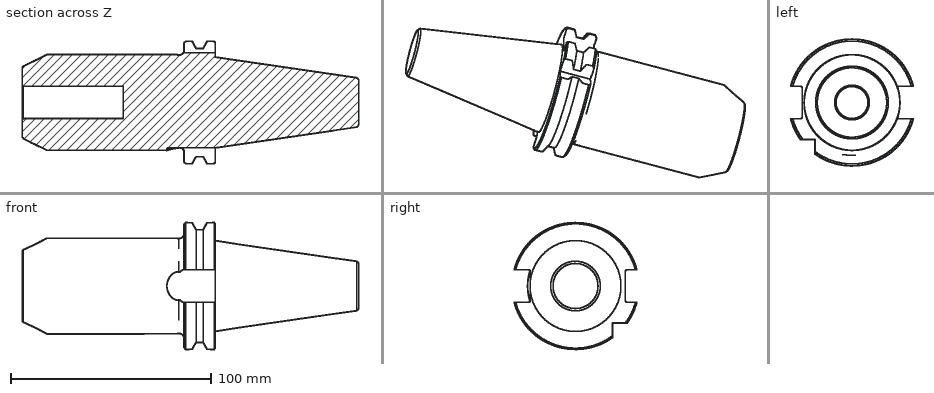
import cadquery as cq
import math

total_length = 168.4
nose_length = 12.5
flange_front = 80.8
flange_rear = 96.7
slot_tip = 72.4

body_radius = 48.0 / 2
nose_half_angle = 25.0
nose_edge_chamfer_axial = 0.7
nose_edge_chamfer_radial = 0.8
shoulder_fillet = 1.0

bore_diameter = 16.0
bore_mouth_chamfer = 0.7
bore_depth = 50.5

undercut_radius = 23.7
undercut_fillet = 2.7
undercut_ramp_length = 1.0
undercut_face_depth = 0.2
undercut_outer_radius = 27.8

flange_radius = 63.5 / 2
front_rim_chamfer = 1.0
rear_rim_chamfer = 0.7
groove_bottom_radius = 28.3
groove_bottom_width = 3.5
groove_center = 88.7
groove_flank_angle = 30.0
groove_edge_fillet = 0.5

taper_slope = 7 / 24 / 2
taper_large_radius = 22.7
tail_chamfer = 1.0

slot_width = 16.2
front_slot_floor = 22.7
rear_slot_floor = 25.0
slot_floor_fillet = 0.8
notch_offset = 18.5

selection_margin = 0.08


def circle_edges(x, radius):
    """Selector for the circular edge of the given radius about the X axis at x."""
    return cq.selectors.BoxSelector(
        (x - selection_margin, -radius - selection_margin, -radius - selection_margin),
        (x + selection_margin, radius + selection_margin, radius + selection_margin),
        boundingbox=True,
    )


def turned_blank():
    """Solid of revolution about X: nose, body, undercut, grooved flange and taper."""
    nose_radius = body_radius - nose_length * math.tan(math.radians(nose_half_angle))
    groove_depth = flange_radius - groove_bottom_radius
    flank_width = groove_depth * math.tan(math.radians(groove_flank_angle))
    groove_bottom_front = groove_center - groove_bottom_width / 2
    groove_bottom_rear = groove_center + groove_bottom_width / 2
    taper_end_radius = taper_large_radius - (total_length - flange_rear) * taper_slope

    undercut_face = flange_front + undercut_face_depth
    undercut_start = undercut_face - undercut_fillet
    arc_center_radius = undercut_radius + undercut_fillet
    arc_offset = undercut_fillet * math.sqrt(0.5)
    arc_middle = (undercut_start + arc_offset, arc_center_radius - arc_offset)

    profile = (
        cq.Workplane("XY")
        .moveTo(0, 0)
        .lineTo(0, nose_radius - nose_edge_chamfer_radial)
        .lineTo(nose_edge_chamfer_axial, nose_radius)
        .lineTo(nose_length, body_radius)
        .lineTo(undercut_start - undercut_ramp_length, body_radius)
        .lineTo(undercut_start, undercut_radius)
        .threePointArc(arc_middle, (undercut_face, arc_center_radius))
        .lineTo(flange_front, undercut_outer_radius)
        .lineTo(flange_front, flange_radius - front_rim_chamfer)
        .lineTo(flange_front + front_rim_chamfer, flange_radius)
        .lineTo(groove_bottom_front - flank_width, flange_radius)
        .lineTo(groove_bottom_front, groove_bottom_radius)
        .lineTo(groove_bottom_rear, groove_bottom_radius)
        .lineTo(groove_bottom_rear + flank_width, flange_radius)
        .lineTo(flange_rear - rear_rim_chamfer, flange_radius)
        .lineTo(flange_rear, flange_radius - rear_rim_chamfer)
        .lineTo(flange_rear, taper_large_radius)
        .lineTo(total_length - tail_chamfer, taper_end_radius + tail_chamfer * taper_slope)
        .lineTo(total_length, taper_end_radius - tail_chamfer)
        .lineTo(total_length, 0)
        .close()
    )
    blank = profile.revolve(360, (0, 0, 0), (1, 0, 0))

    shoulder_edge = circle_edges(nose_length, body_radius)
    blank = blank.edges(shoulder_edge).fillet(shoulder_fillet)
    groove_edges = (
        circle_edges(groove_bottom_front - flank_width, flange_radius)
        + circle_edges(groove_bottom_rear + flank_width, flange_radius)
    )
    return blank.edges(groove_edges).fillet(groove_edge_fillet)


def bore():
    """Blind bore from the nose face with a chamfered mouth."""
    radius = bore_diameter / 2
    profile = (
        cq.Workplane("XY")
        .moveTo(0, 0)
        .lineTo(0, radius + bore_mouth_chamfer)
        .lineTo(bore_mouth_chamfer, radius)
        .lineTo(bore_depth, radius)
        .lineTo(bore_depth, 0)
        .close()
    )
    return profile.revolve(360, (0, 0, 0), (1, 0, 0))


def drive_slot(side, floor):
    """Cutter for a round-ended slot open to the rear; side is the sign of its Y position."""
    half_width = slot_width / 2
    arc_center = slot_tip + half_width
    depth = flange_radius - floor
    cutter = (
        cq.Workplane("XZ", origin=(0, side * floor, 0))
        .moveTo(flange_rear, half_width)
        .lineTo(arc_center, half_width)
        .threePointArc((slot_tip, 0), (arc_center, -half_width))
        .lineTo(flange_rear, -half_width)
        .close()
        .extrude(-side * depth)
    )
    floor_face = ">Y" if side < 0 else "<Y"
    wall_edges = cutter.faces(floor_face).edges(cq.selectors.BoxSelector(
        (0, -flange_radius, -flange_radius),
        (flange_rear - slot_floor_fillet, flange_radius, flange_radius),
    ))
    return wall_edges.fillet(slot_floor_fillet)


def orientation_notch():
    """Square corner notch through the flange on its +Y, -Z side."""
    size = flange_radius - notch_offset
    flange_width = flange_rear - flange_front
    block = cq.Workplane("XY").box(flange_width, size, size, centered=False)
    return block.translate((flange_front, notch_offset, -flange_radius))


result = (
    turned_blank()
    .cut(bore())
    .cut(drive_slot(-1, front_slot_floor))
    .cut(drive_slot(1, rear_slot_floor))
    .cut(orientation_notch())
)